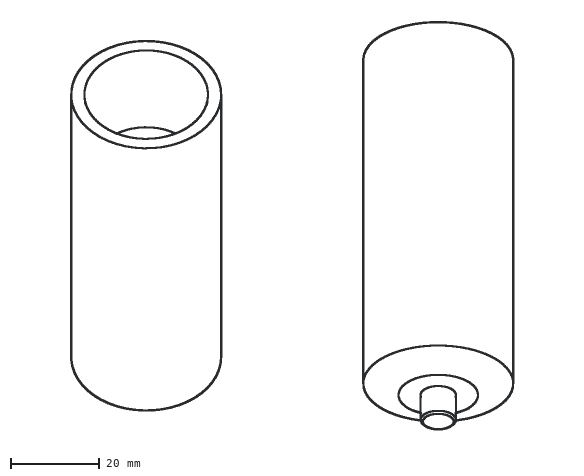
import cadquery as cq
import math

body_radius = 17.0
body_height = 85.0

cavity_mouth_radius = 14.0
cavity_floor_radius = 12.0
cavity_draft = math.radians(5)
cavity_depth = (cavity_mouth_radius - cavity_floor_radius) / math.tan(cavity_draft)

foot_height = 3.0
foot_radius = 9.0
foot_inset = body_radius - foot_radius
foot_flare_radius = (foot_inset**2 + foot_height**2) / (2 * foot_height)

pin_radius = 4.0
pin_length = 7.0
pin_chamfer = 0.5


def flare_point(drop):
    """Point (radius, Z) on the concave flare at a given drop below the body."""
    inward = math.sqrt(foot_flare_radius**2 - (foot_flare_radius - drop) ** 2)
    return (body_radius - inward, -drop)


def make_body_with_foot():
    """Revolve the body and its flared foot as one solid of revolution."""
    profile = (
        cq.Workplane("XZ")
        .moveTo(0, body_height)
        .lineTo(body_radius, body_height)
        .lineTo(body_radius, 0)
        .threePointArc(flare_point(foot_height / 2), (foot_radius, -foot_height))
        .lineTo(0, -foot_height)
        .close()
    )
    return profile.revolve(360, (0, 0, 0), (0, 1, 0))


def make_pin():
    """Pin hanging from the foot, chamfered at its free end."""
    pin = cq.Workplane("XY").workplane(offset=-foot_height).circle(pin_radius).extrude(-pin_length)
    return pin.faces("<Z").chamfer(pin_chamfer)


def make_cavity():
    """Conical cavity narrowing from the mouth down to a flat floor."""
    floor_height = body_height - cavity_depth
    profile = (
        cq.Workplane("XZ")
        .moveTo(0, body_height)
        .lineTo(cavity_mouth_radius, body_height)
        .lineTo(cavity_floor_radius, floor_height)
        .lineTo(0, floor_height)
        .close()
    )
    return profile.revolve(360, (0, 0, 0), (0, 1, 0))


result = make_body_with_foot().union(make_pin()).cut(make_cavity())